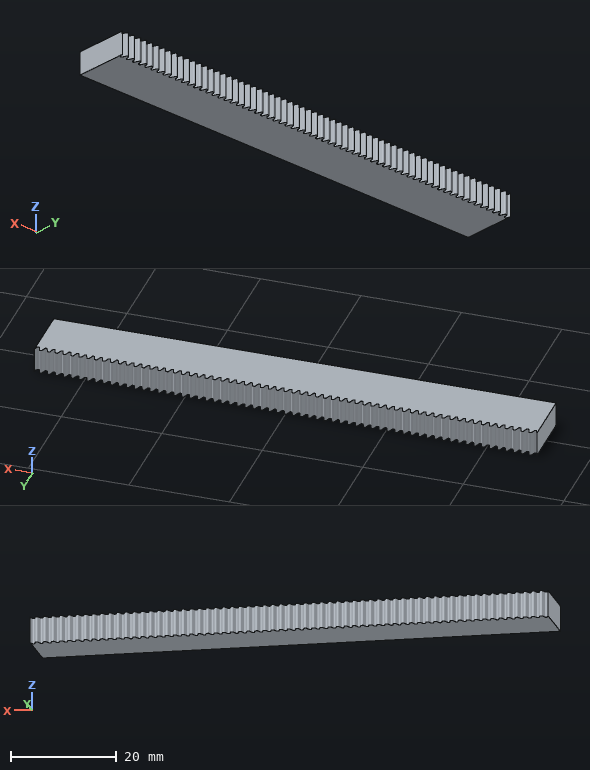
import cadquery as cq
import math

length = 100.0
overall_depth = 12.0
thickness = 5.0

module = 0.5
pressure_angle = math.radians(20)
addendum = module
dedendum = 1.25 * module
pitch = math.pi * module
tooth_corner_radius = module / 3

tip_y = overall_depth
root_y = tip_y - addendum - dedendum
flank_slope = math.tan(pressure_angle)
half_tip = pitch / 4 - addendum * flank_slope
half_root = pitch / 4 + dedendum * flank_slope

teeth_per_side = math.ceil((length / 2) / pitch)

pick_margin = 0.01


def tooth_outline(center_x):
    return [
        (center_x - half_root, root_y),
        (center_x - half_tip, tip_y),
        (center_x + half_tip, tip_y),
        (center_x + half_root, root_y),
    ]


def make_untrimmed_rack():
    outline = []
    for index in range(-teeth_per_side, teeth_per_side + 1):
        outline += tooth_outline(index * pitch)
    last_x, _ = outline[-1]
    outline += [(last_x, 0), (-last_x, 0)]
    return cq.Workplane("XY").polyline(outline).close().extrude(thickness)


def round_edges_at(rack, y):
    """Round the upright tooth edges that stand at the given Y."""
    picker = cq.selectors.BoxSelector(
        (-length, y - pick_margin, -pick_margin),
        (length, y + pick_margin, thickness + pick_margin),
    )
    return rack.edges(picker).edges("|Z").fillet(tooth_corner_radius)


def make_bar_envelope():
    return cq.Workplane("XY").box(length, overall_depth, thickness, centered=(True, False, False))


rack = make_untrimmed_rack()
rack = round_edges_at(rack, tip_y)
rack = round_edges_at(rack, root_y)
result = rack.intersect(make_bar_envelope())